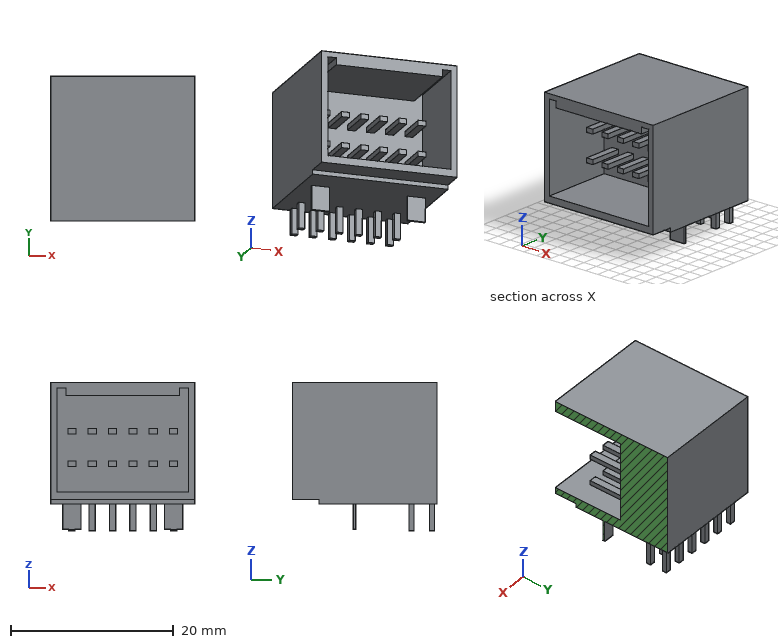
import cadquery as cq

body_width = 17.7
body_depth = 17.8
body_height = 14.95
front_y = -body_depth / 2
back_y = body_depth / 2

relief_depth = 3.25
relief_height = 0.55

side_wall = 0.8
top_wall = 0.7
floor_height = 1.5
cavity_depth = 10.3
cavity_width = body_width - 2 * side_wall
cavity_top = body_height - top_wall

rail_end_gap = 1.1
rail_height = 0.9
rail_width = cavity_width - 2 * rail_end_gap

contact_columns = 6
contact_pitch = 2.5
contact_width = 1.0
contact_thickness = 0.65
contact_length = 4.8
lower_row_height = 4.95
row_pitch = 4.0
contact_row_heights = (lower_row_height, lower_row_height + row_pitch)
column_positions = [
    (column - (contact_columns - 1) / 2) * contact_pitch for column in range(contact_columns)
]

tail_width = 0.8
tail_thickness = 0.65
tail_length = 3.3
tail_back_offset = 0.65
tail_row_pitch = 2.5
tail_rows = 2

lock_width = 2.3
lock_thickness = 0.33
lock_length = 3.1
lock_back_offset = 10.15


def block(width, depth, height, x, y, z):
    """Box centred on x, starting at y and z and growing toward +Y and +Z."""
    body = cq.Workplane("XY").box(width, depth, height, centered=(True, False, False))
    return body.translate((x, y, z))


def make_housing():
    shell = block(body_width, body_depth, body_height, 0, front_y, 0)
    cavity = block(cavity_width, cavity_depth, cavity_top - floor_height, 0, front_y, floor_height)
    relief = block(body_width, relief_depth, relief_height, 0, front_y, 0)
    rail = block(rail_width, cavity_depth, rail_height, 0, front_y, cavity_top - rail_height)
    return shell.cut(cavity).cut(relief).union(rail)


def add_contacts(part):
    cavity_back_y = front_y + cavity_depth
    for x in column_positions:
        for z in contact_row_heights:
            part = part.union(
                block(
                    contact_width,
                    contact_length,
                    contact_thickness,
                    x,
                    cavity_back_y - contact_length,
                    z - contact_thickness / 2,
                )
            )
    return part


def add_tails(part):
    for x in column_positions:
        for row in range(tail_rows):
            y = back_y - tail_back_offset - row * tail_row_pitch - tail_thickness / 2
            part = part.union(block(tail_width, tail_thickness, tail_length, x, y, -tail_length))
    return part


def add_board_locks(part):
    y = back_y - lock_back_offset - lock_thickness / 2
    for x in (column_positions[0], column_positions[-1]):
        part = part.union(block(lock_width, lock_thickness, lock_length, x, y, -lock_length))
    return part


result = add_board_locks(add_tails(add_contacts(make_housing())))